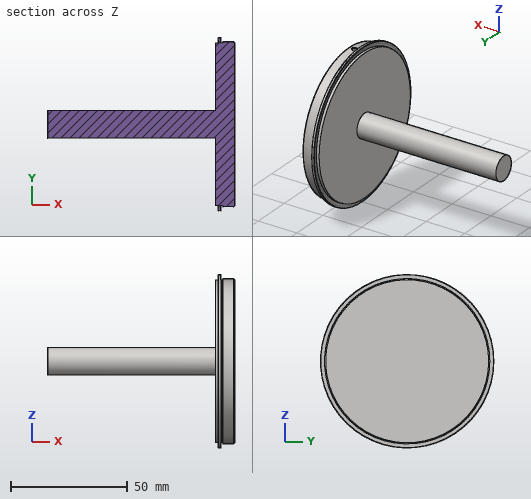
import cadquery as cq

stem_length = 72.0
stem_diameter = 12.0

total_length = 80.37
body_diameter = 70.0

flange_diameter = 74.5
flange_start = 1.1
flange_end = 2.37
flange_chamfer = 0.2
dish_outer_diameter = 72.5
dish_floor_diameter = 70.5
dish_depth = 0.3

rim_diameter = 71.0
rim_start = 2.87
rim_chamfer = 0.5

hole_diameter = 2.5
hole_depth = 0.5
hole_position = 5.3

stem_radius = stem_diameter / 2
body_radius = body_diameter / 2
flange_radius = flange_diameter / 2
rim_radius = rim_diameter / 2
rim_edge_radius = rim_radius - rim_chamfer


def make_turned_body():
    """Stem, disc, flange and rim as one half profile revolved about X."""
    flange_near = stem_length + flange_start
    dish_floor = flange_near + dish_depth
    flange_far = stem_length + flange_end
    rim_near = stem_length + rim_start
    profile = [
        (0, 0),
        (0, stem_radius),
        (stem_length, stem_radius),
        (stem_length, body_radius),
        (dish_floor, body_radius),
        (dish_floor, dish_floor_diameter / 2),
        (flange_near, dish_outer_diameter / 2),
        (flange_near, flange_radius - flange_chamfer),
        (flange_near + flange_chamfer, flange_radius),
        (flange_far, flange_radius),
        (flange_far, body_radius),
        (rim_near, rim_edge_radius),
        (rim_near + rim_chamfer, rim_radius),
        (total_length - rim_chamfer, rim_radius),
        (total_length, rim_edge_radius),
        (total_length, 0),
    ]
    return cq.Workplane("XY").polyline(profile).close().revolve(360, (0, 0, 0), (1, 0, 0))


def make_hole_cutter():
    """Vertical cylinder that sinks into the top of the rim."""
    return (
        cq.Workplane("XY", origin=(stem_length + hole_position, 0, rim_radius - hole_depth))
        .circle(hole_diameter / 2)
        .extrude(2 * hole_depth)
    )


result = make_turned_body().cut(make_hole_cutter())